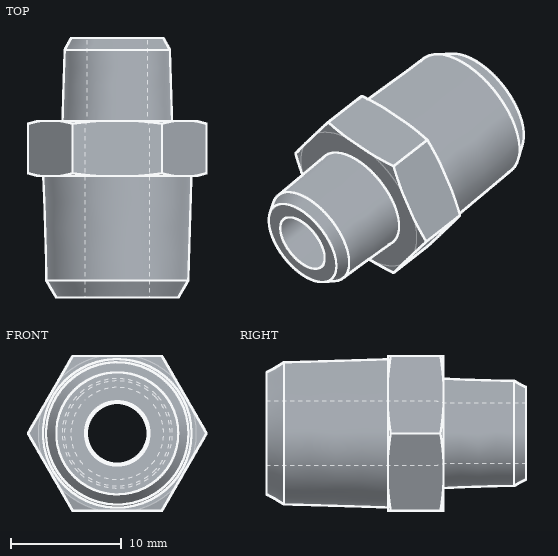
import cadquery as cq
import math

total_length = 23.5
hex_across_flats = 14.0
hex_length = 5.0
large_end_length = 11.0
hex_across_corners = hex_across_flats / math.cos(math.pi / 6)

large_root_diameter = 13.45
large_rim_diameter = 12.88
large_face_diameter = 11.05
large_chamfer_length = 1.57

small_root_diameter = 9.95
small_rim_diameter = 9.55
small_face_diameter = 8.37
small_chamfer_length = 1.08

hex_face_diameter = 14.29
hex_chamfer_length = 0.25

large_bore_diameter = 5.83
small_bore_diameter = 5.5
bore_cone_length = 0.59

large_face_y = -total_length / 2
small_face_y = total_length / 2
hex_start_y = large_face_y + large_end_length
hex_end_y = hex_start_y + hex_length


def revolve_profile(stations):
    """Revolve (diameter, y) stations about the Y axis into a solid."""
    outline = [(diameter / 2, y) for diameter, y in stations]
    outline = [(0, stations[0][1])] + outline + [(0, stations[-1][1])]
    return cq.Workplane("XY").polyline(outline).close().revolve(360, (0, 0), (0, 1))


def make_hex_collar():
    """Hexagon with corners on X, its corners bevelled by a cone at both faces."""
    prism = (
        cq.Workplane("XZ", origin=(0, hex_end_y, 0))
        .polygon(6, hex_across_corners)
        .extrude(hex_length)
    )
    bevel_envelope = revolve_profile([
        (hex_face_diameter, hex_start_y),
        (hex_across_corners, hex_start_y + hex_chamfer_length),
        (hex_across_corners, hex_end_y - hex_chamfer_length),
        (hex_face_diameter, hex_end_y),
    ])
    return prism.intersect(bevel_envelope)


large_end = revolve_profile([
    (large_face_diameter, large_face_y),
    (large_rim_diameter, large_face_y + large_chamfer_length),
    (large_root_diameter, hex_start_y),
])
small_end = revolve_profile([
    (small_root_diameter, hex_end_y),
    (small_rim_diameter, small_face_y - small_chamfer_length),
    (small_face_diameter, small_face_y),
])

bore = revolve_profile([
    (large_bore_diameter, large_face_y),
    (large_bore_diameter, hex_end_y - bore_cone_length),
    (small_bore_diameter, hex_end_y),
    (small_bore_diameter, small_face_y),
])

result = make_hex_collar().union(large_end).union(small_end).cut(bore)